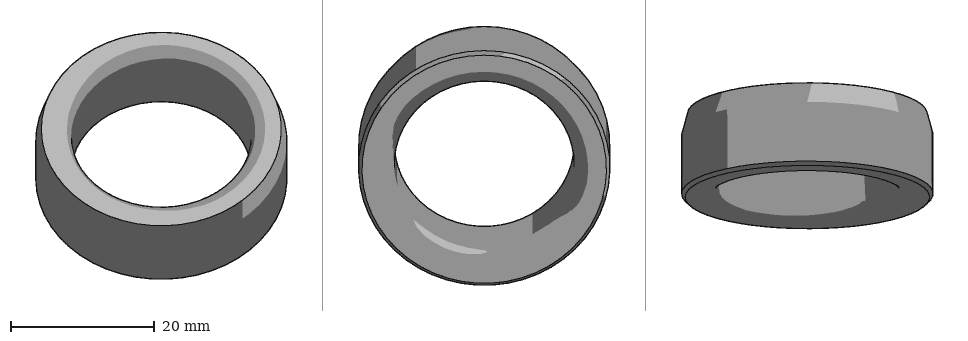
import cadquery as cq
import math

outer_diameter = 35.0
bore_diameter = 25.0
height = 12.0

bore_rounding = 2.0
base_chamfer = 0.5
taper_height = 3.0
taper_angle = 15.0

outer_radius = outer_diameter / 2
bore_radius = bore_diameter / 2
taper_inset = taper_height * math.tan(math.radians(taper_angle))


def make_ring_body():
    """Solid of revolution with a chamfered base and a tapered upper rim."""
    return (
        cq.Workplane("XZ")
        .moveTo(bore_radius, 0)
        .lineTo(outer_radius - base_chamfer, 0)
        .lineTo(outer_radius, base_chamfer)
        .lineTo(outer_radius, height - taper_height)
        .lineTo(outer_radius - taper_inset, height)
        .lineTo(bore_radius, height)
        .close()
        .revolve(360, (0, 0, 0), (0, 1, 0))
    )


def round_bore_mouths(body):
    """Round the bore edge at both the top and bottom faces."""
    bore_edges = cq.selectors.RadiusNthSelector(0)
    return body.faces("<Z or >Z").edges(bore_edges).fillet(bore_rounding)


result = round_bore_mouths(make_ring_body())